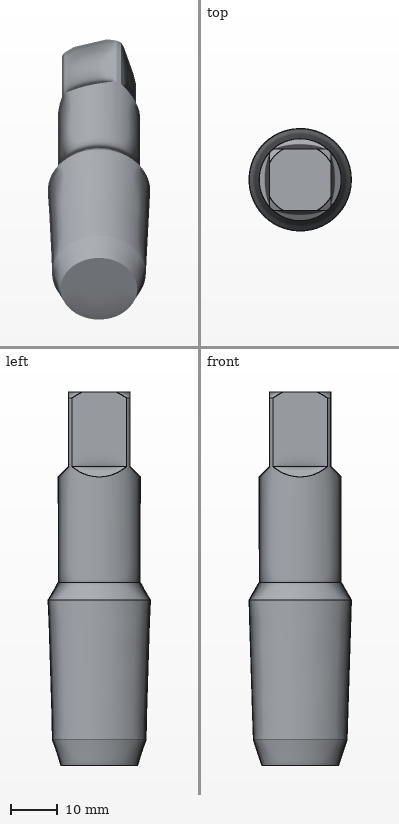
import cadquery as cq
import math

total_length = 79.5

head_diameter = 21.8
head_top = 35.2
taper_on_diameter = 1 / 16
lead_length = 5.5
tip_diameter = 16.3

shank_diameter = 17.45
shoulder_angle = 30

square_width = 13.1
square_length = 15.9
flat_runout_angle = 45
crown_diameter = 14.9
crown_height = 1.25

head_radius = head_diameter / 2
tip_radius = tip_diameter / 2
lead_radius = head_radius - (head_top - lead_length) * taper_on_diameter / 2
shank_radius = shank_diameter / 2
shoulder_top = head_top + (head_radius - shank_radius) / math.tan(math.radians(shoulder_angle))
crown_radius = crown_diameter / 2
square_bottom = total_length - square_length
flat_depth = shank_radius - square_width / 2
runout_bottom = square_bottom - flat_depth / math.tan(math.radians(flat_runout_angle))


def revolved(profile):
    """Solid of revolution about Z from a closed (radius, z) outline."""
    return cq.Workplane("XZ").polyline(profile).close().revolve(360, (0, 0), (0, 1))


def make_threaded_head():
    """Tapered head with a steeper conical lead at its lower end."""
    return revolved([
        (0, 0),
        (tip_radius, 0),
        (lead_radius, lead_length),
        (head_radius, head_top),
        (0, head_top),
    ])


def make_flat_cutter(angle):
    """Wedge-footed block that cuts one flat of the square, turned about Z."""
    block = (
        cq.Workplane("XZ")
        .polyline([
            (square_width / 2, total_length),
            (square_width / 2, square_bottom),
            (shank_radius, runout_bottom),
            (shank_radius, total_length),
        ])
        .close()
        .extrude(shank_radius, both=True)
    )
    return block.rotate((0, 0, 0), (0, 0, 1), angle)


def make_shank():
    """Round shank with a conical shoulder below and a square drive on top."""
    shank = revolved([
        (0, head_top),
        (head_radius, head_top),
        (shank_radius, shoulder_top),
        (shank_radius, total_length - crown_height),
        (crown_radius, total_length),
        (0, total_length),
    ])
    for angle in (0, 90, 180, 270):
        shank = shank.cut(make_flat_cutter(angle))
    return shank


threaded_head = make_threaded_head()
shank = make_shank()

result = cq.Compound.makeCompound([threaded_head.val(), shank.val()])